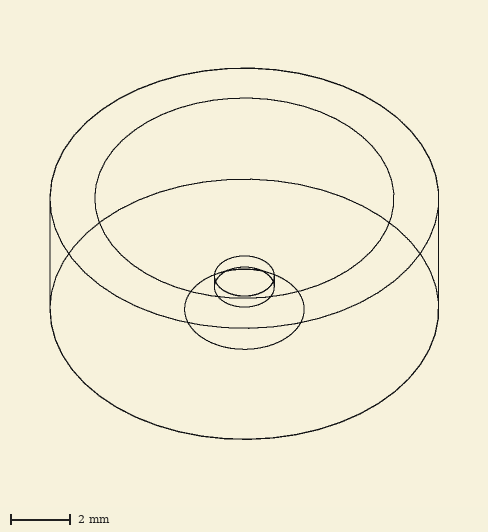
import cadquery as cq

outer_diameter = 13.0
height = 5.0
bore_diameter = 2.0
funnel_diameter = 10.0
funnel_depth = 3.5
countersink_diameter = 4.0
countersink_depth = 1.0

outer_radius = outer_diameter / 2
bore_radius = bore_diameter / 2
funnel_radius = funnel_diameter / 2
countersink_radius = countersink_diameter / 2
bore_top = height - funnel_depth


def make_funnel_ring():
    """Round body: conical funnel in the top, short straight bore, countersink in the bottom."""
    half_section = (
        cq.Workplane("XZ")
        .moveTo(countersink_radius, 0)
        .lineTo(outer_radius, 0)
        .lineTo(outer_radius, height)
        .lineTo(funnel_radius, height)
        .lineTo(bore_radius, bore_top)
        .lineTo(bore_radius, countersink_depth)
        .close()
    )
    return half_section.revolve(360, (0, 0, 0), (0, 1, 0))


result = make_funnel_ring()